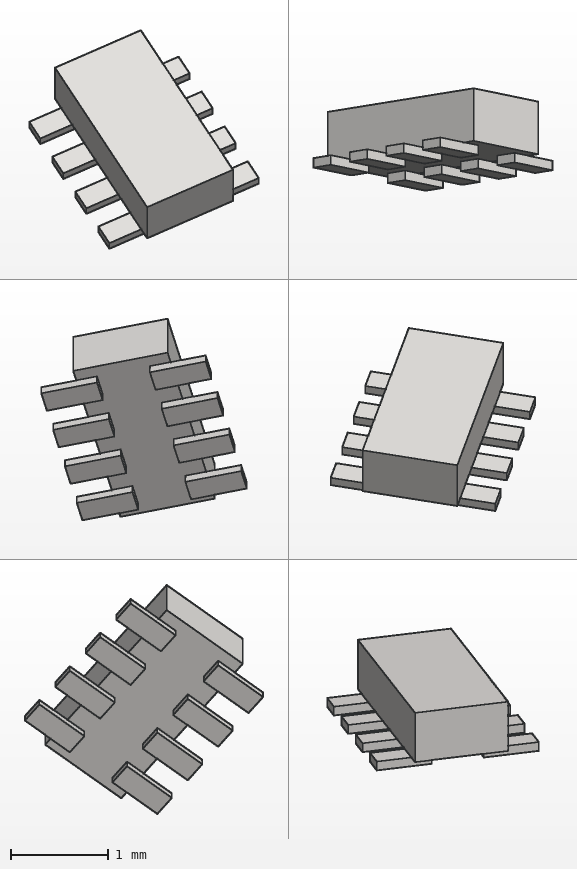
import cadquery as cq

body_length = 2.0
body_width = 1.0
body_height = 0.55

leads_per_row = 4
lead_pitch = 0.5
lead_width = 0.24
lead_length = 0.59
lead_thickness = 0.1
lead_tip_span = 1.74


def make_body():
    """Plain block resting on top of the leads."""
    return (
        cq.Workplane("XY")
        .workplane(offset=lead_thickness)
        .box(body_length, body_width, body_height, centered=(True, True, False))
    )


def make_lead(x, side):
    """Flat bar centred at x; side is -1 for the -Y row and +1 for the +Y row."""
    y = side * (lead_tip_span - lead_length) / 2
    return (
        cq.Workplane("XY")
        .center(x, y)
        .box(lead_width, lead_length, lead_thickness, centered=(True, True, False))
    )


body = make_body()

first_lead_x = -(leads_per_row - 1) * lead_pitch / 2
leads = []
for side in (-1, 1):
    for index in range(leads_per_row):
        lead_x = first_lead_x + index * lead_pitch
        leads.append(make_lead(lead_x, side).val())

result = cq.Compound.makeCompound([body.val(), *leads])